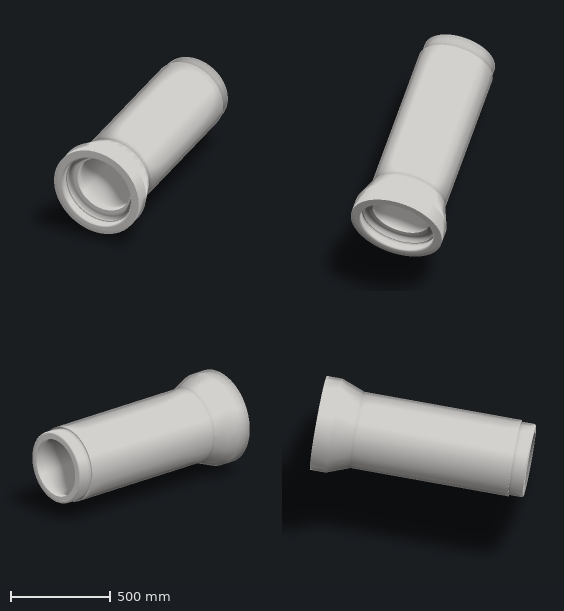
import cadquery as cq

TOTAL_LENGTH = 1080.0
COLLAR_LENGTH = 80.0
TAPER_LENGTH = 120.0
SPIGOT_LENGTH = 75.0

COLLAR_DIAMETER = 480.0
BARREL_DIAMETER = 390.0
SPIGOT_DIAMETER = 374.0

BORE_DIAMETER = 300.0
SOCKET_DIAMETER = 384.0
SOCKET_DEPTH = 82.0

GROOVE_START = 40.0
GROOVE_WIDTH = 10.0
GROOVE_DEPTH = 4.0

EDGE_RADIUS = 10.0

COLLAR_END_Y = COLLAR_LENGTH
TAPER_END_Y = COLLAR_END_Y + TAPER_LENGTH
SHOULDER_Y = TOTAL_LENGTH - SPIGOT_LENGTH


def make_outside():
    """Solid body: collar, taper, barrel and spigot with a rounded tip."""
    profile = cq.Workplane("XY").polyline([
        (0, 0),
        (COLLAR_DIAMETER / 2, 0),
        (COLLAR_DIAMETER / 2, COLLAR_END_Y),
        (BARREL_DIAMETER / 2, TAPER_END_Y),
        (BARREL_DIAMETER / 2, SHOULDER_Y),
        (SPIGOT_DIAMETER / 2, SHOULDER_Y),
        (SPIGOT_DIAMETER / 2, TOTAL_LENGTH),
        (0, TOTAL_LENGTH),
    ]).close()
    body = profile.revolve(360, (0, 0, 0), (0, 1, 0))
    return body.faces(">Y").edges().fillet(EDGE_RADIUS)


def make_disc(diameter, start_y, length):
    """Plain cylinder on the Y axis, running from start_y towards +Y."""
    return cq.Workplane("XZ", origin=(0, start_y, 0)).circle(diameter / 2).extrude(-length)


def make_socket():
    """Socket cavity with a rounded floor edge and a ring groove in its wall."""
    cavity = make_disc(SOCKET_DIAMETER, 0, SOCKET_DEPTH)
    cavity = cavity.faces(">Y").edges().fillet(EDGE_RADIUS)
    groove_diameter = SOCKET_DIAMETER + 2 * GROOVE_DEPTH
    return cavity.union(make_disc(groove_diameter, GROOVE_START, GROOVE_WIDTH))


def make_bore():
    """Straight bore through the whole length."""
    return make_disc(BORE_DIAMETER, 0, TOTAL_LENGTH)


pipe = make_outside().cut(make_socket())
pipe = pipe.faces("<Y").edges(cq.selectors.RadiusNthSelector(0)).fillet(EDGE_RADIUS)
result = pipe.cut(make_bore())